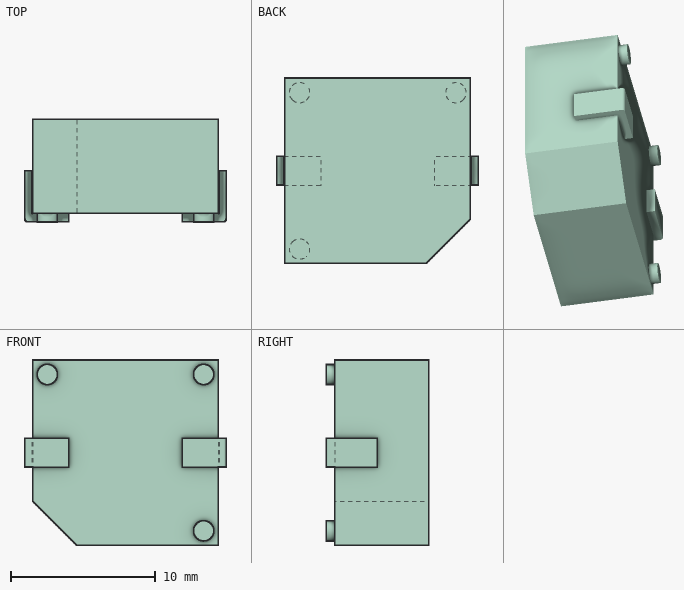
import cadquery as cq

overall_width = 13.9
housing_side = 12.8
housing_depth = 6.5
corner_cut = 3.05
half_side = housing_side / 2

peg_diameter = 1.4
peg_height = 0.6
peg_offset = 5.4

terminal_width = 2.0
terminal_front = 0.58
terminal_front_length = 3.05
terminal_side_length = 3.53
terminal_bend_radius = 0.2
terminal_side_gap = 0.05
half_width = overall_width / 2


def make_housing():
    block = cq.Workplane("XY").box(
        housing_side, housing_depth, housing_side, centered=(True, False, True)
    )
    return block.edges("|Y and <X and <Z").chamfer(corner_cut)


def make_pegs():
    centers = [(-peg_offset, peg_offset), (peg_offset, peg_offset), (peg_offset, -peg_offset)]
    return cq.Workplane("XZ").pushPoints(centers).circle(peg_diameter / 2).extrude(peg_height)


def make_left_terminal():
    outline = [
        (-half_width, -terminal_front),
        (-half_width + terminal_front_length, -terminal_front),
        (-half_width + terminal_front_length, 0),
        (-half_side - terminal_side_gap, 0),
        (-half_side - terminal_side_gap, terminal_side_length - terminal_front),
        (-half_width, terminal_side_length - terminal_front),
    ]
    terminal = cq.Workplane("XY").polyline(outline).close().extrude(terminal_width / 2, both=True)
    return terminal.edges("|Z and <X and <Y").fillet(terminal_bend_radius)


left_terminal = make_left_terminal()
right_terminal = left_terminal.mirror("YZ")
result = make_housing().union(make_pegs()).union(left_terminal).union(right_terminal)